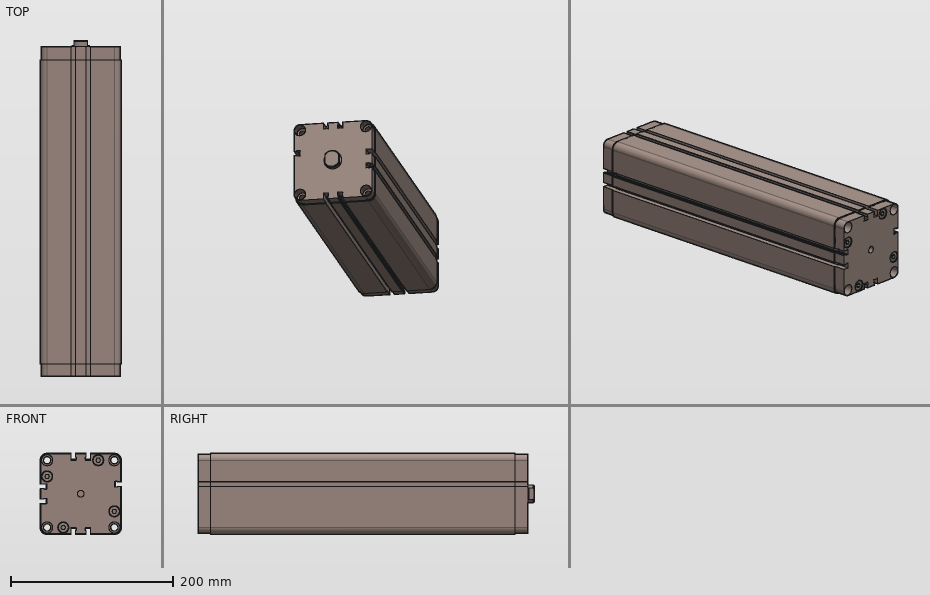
import cadquery as cq
import math

total_length = 414.0
rod_length = 8.0
front_cap_length = 15.5
rear_cap_length = 16.0
front_y = -total_length / 2
rear_y = total_length / 2 - rod_length
housing_length = rear_y - front_y

body_side = 100.0
cap_inset = 1.2
cap_side = body_side - 2 * cap_inset
body_corner_radius = 8.5
cap_corner_radius = body_corner_radius - cap_inset

slot_offset = 12.0
slot_outer_wall = 12.0
slot_lip_wall = 6.5
slot_inner_wall = 6.0
slot_lip_depth = 3.7
slot_lip_chamfer = 0.5
slot_depth = 7.5

mount_offset = body_side / 2 - body_corner_radius
mount_hole_diameter = 8.5
mount_bore_diameter = 13.5

screw_side_offset = 21.5
screw_bore_diameter = 13.5
screw_head_diameter = 12.5
screw_head_recess = 1.0
socket_across_flats = 5.0
socket_depth = 5.0

center_hole_diameter = 8.3
center_hole_depth = 12.5

rod_diameter = 22.0
rod_end_diameter = 20.0
rod_across_flats = 17.0
rod_shoulder = 1.2
rod_chamfer_length = 1.5


def rounded_bar(side, corner_radius, y_start, length):
    bar = cq.Workplane("XY").box(side, length, side, centered=(True, False, True))
    return bar.edges("|Y").fillet(corner_radius).translate((0, y_start, 0))


def round_bar(diameter, x, z, y_start, length):
    center = cq.Vector(x, y_start, z)
    return cq.Workplane(cq.Solid.makeCylinder(diameter / 2, length, center, cq.Vector(0, 1, 0)))


def lengthwise_prism(outline, y_start, length):
    """Extrude an outline of (x, z) points along +Y."""
    prism = cq.Workplane("XZ").polyline(outline).close().extrude(-length)
    return prism.translate((0, y_start, 0))


def turned(shape, angle):
    """Turn a shape about the length axis."""
    return shape.rotate((0, 0, 0), (0, 1, 0), angle)


def hooked_slot(side, y_start, length):
    """Slot in the top face of a bar of the given side, undercut towards the middle only."""
    surface = side / 2
    outline = [
        (slot_outer_wall, surface),
        (slot_outer_wall, surface - slot_depth),
        (slot_inner_wall, surface - slot_depth),
        (slot_inner_wall, surface - slot_lip_depth),
        (slot_lip_wall, surface - slot_lip_depth),
        (slot_lip_wall, surface - slot_lip_chamfer),
        (slot_lip_wall - slot_lip_chamfer, surface),
    ]
    return lengthwise_prism(outline, y_start, length)


def tee_slot(side, y_start, length):
    """Slot in the +X face of a bar of the given side, undercut on both sides."""
    surface = side / 2
    opening = (slot_outer_wall - slot_lip_wall) / 2
    undercut = opening + slot_lip_wall - slot_inner_wall
    half = [
        (surface, opening),
        (surface - slot_lip_depth, opening),
        (surface - slot_lip_depth, undercut),
        (surface - slot_depth, undercut),
    ]
    outline = half + [(x, -z) for x, z in reversed(half)]
    return lengthwise_prism(outline, y_start, length).translate((0, 0, slot_offset))


def slotted_bar(side, corner_radius, y_start, length):
    """Rounded square bar with slot pairs on the top, bottom and -X faces and a tee slot on +X."""
    bar = rounded_bar(side, corner_radius, y_start, length)
    slot = hooked_slot(side, y_start, length)
    slot_pair = slot.union(slot.mirror("YZ"))
    for angle in (0, 180, -90):
        bar = bar.cut(turned(slot_pair, angle))
    return bar.cut(tee_slot(side, y_start, length))


def make_housing():
    """Square profile between two end caps that are slightly smaller."""
    profile_y = front_y + front_cap_length
    rear_cap_y = rear_y - rear_cap_length
    profile = slotted_bar(body_side, body_corner_radius, profile_y, rear_cap_y - profile_y)
    front_cap = slotted_bar(cap_side, cap_corner_radius, front_y, front_cap_length)
    rear_cap = slotted_bar(cap_side, cap_corner_radius, rear_cap_y, rear_cap_length)
    return profile.union(front_cap).union(rear_cap)


def cut_mounting_holes(housing):
    for x in (-mount_offset, mount_offset):
        for z in (-mount_offset, mount_offset):
            housing = housing.cut(round_bar(mount_hole_diameter, x, z, front_y, housing_length))
            front_bore = round_bar(mount_bore_diameter, x, z, front_y, front_cap_length)
            rear_bore = round_bar(mount_bore_diameter, x, z, rear_y - rear_cap_length, rear_cap_length)
            housing = housing.cut(front_bore).cut(rear_bore)
    return housing


def add_screws(housing):
    """Four socket screws, one beside each corner, in a quarter-turn pattern."""
    near, far = screw_side_offset, mount_offset
    head_y = front_y + screw_head_recess
    head_length = front_cap_length - screw_head_recess
    socket_diameter = socket_across_flats / math.cos(math.pi / 6)
    socket = cq.Workplane("XZ").polygon(6, socket_diameter).extrude(-socket_depth)
    for x, z in ((near, far), (far, -near), (-near, -far), (-far, near)):
        bore = round_bar(screw_bore_diameter, x, z, front_y, front_cap_length)
        head = round_bar(screw_head_diameter, x, z, head_y, head_length)
        screw = head.cut(socket.translate((x, head_y, z)))
        housing = housing.cut(bore).union(screw)
    return housing


def make_rod_end():
    chamfer_depth = (rod_diameter - rod_end_diameter) / 2
    rod = round_bar(rod_diameter, 0, 0, rear_y, rod_length)
    rod = rod.faces(">Y").chamfer(rod_chamfer_length, chamfer_depth)
    flat_depth = (rod_diameter - rod_across_flats) / 2
    flat_length = rod_length - rod_shoulder
    cutter = cq.Workplane("XY").box(flat_depth, flat_length, rod_diameter, centered=(False, False, True))
    cutter = cutter.translate((rod_across_flats / 2, rear_y + rod_shoulder, 0))
    return rod.cut(cutter).cut(cutter.mirror("YZ"))


housing = make_housing()
housing = cut_mounting_holes(housing)
housing = add_screws(housing)
housing = housing.cut(round_bar(center_hole_diameter, 0, 0, front_y, center_hole_depth))

result = housing.union(make_rod_end())